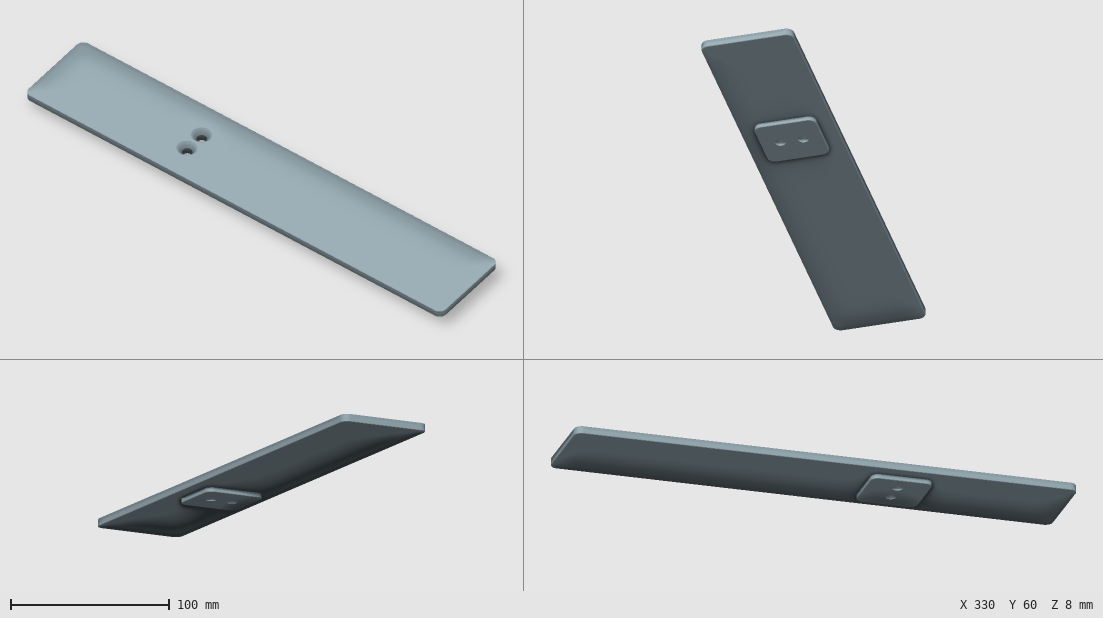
import cadquery as cq

plate_length = 330.0
plate_width = 60.0
plate_thickness = 5.0

corner_radius = 5.0

edge_chamfer = 0.3

pad_side = 40.0
pad_height = 3.0
pad_center_from_end = 112.0
pad_center_x = pad_center_from_end - plate_length / 2

hole_diameter = 6.6
hole_spacing = 15.0
countersink_diameter = 13.5
countersink_angle = 90.0


def make_plate():
    """Rounded rectangular plate, chamfered around its top and bottom faces."""
    plate = cq.Workplane("XY").box(
        plate_length, plate_width, plate_thickness, centered=(True, True, False)
    )
    plate = plate.edges("|Z").fillet(corner_radius)
    return plate.faces("<Z or >Z").edges().chamfer(edge_chamfer)


def make_pad():
    """Rounded square pad below the plate, chamfered around its lower face."""
    pad = (
        cq.Workplane("XY")
        .center(pad_center_x, 0)
        .rect(pad_side, pad_side)
        .extrude(-pad_height)
    )
    pad = pad.edges("|Z").fillet(corner_radius)
    return pad.faces("<Z").edges().chamfer(edge_chamfer)


def cut_screw_holes(body):
    """Two countersunk through holes across the plate, with chamfered rims."""
    hole_centers = [
        (pad_center_x, -hole_spacing / 2),
        (pad_center_x, hole_spacing / 2),
    ]
    drilled = (
        body.faces(">Z")
        .workplane(origin=(0, 0, plate_thickness))
        .pushPoints(hole_centers)
        .cskHole(hole_diameter, countersink_diameter, countersink_angle)
    )
    countersink_rims = drilled.faces(">Z").edges("%CIRCLE").edges(
        cq.selectors.RadiusNthSelector(-1)
    )
    return countersink_rims.chamfer(edge_chamfer)


result = cut_screw_holes(make_plate().union(make_pad()))